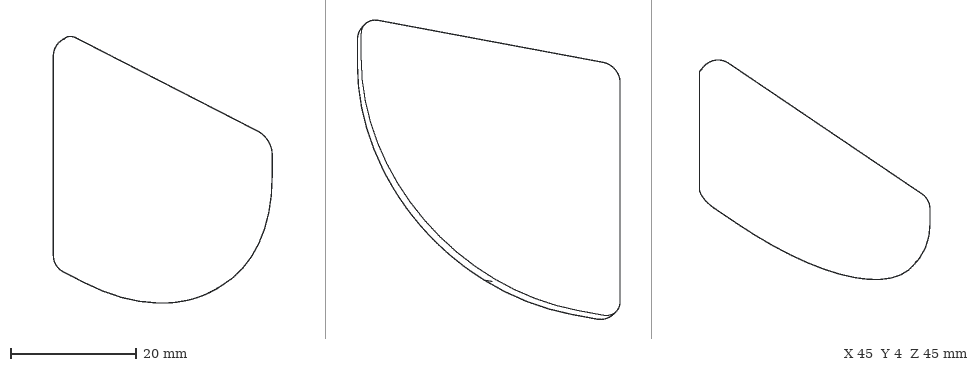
import cadquery as cq

side = 45.0
thickness = 4.0
edge_radius = 3.0
straight_length = 7.5
arc_radius = side - straight_length


def quarter_plate():
    """Square plate with a large arc replacing its +X, -Z corner."""
    plate = cq.Workplane("XY").box(side, thickness, side, centered=False)
    lower_right_edge = cq.selectors.NearestToPointSelector((side, thickness / 2, 0))
    return plate.edges(lower_right_edge).fillet(arc_radius)


def round_corners(plate):
    """Round the three remaining corners, seen along Y."""
    for x, z in ((0, 0), (0, side), (side, side)):
        corner_edge = cq.selectors.NearestToPointSelector((x, thickness / 2, z))
        plate = plate.edges(corner_edge).fillet(edge_radius)
    return plate


def round_front(plate):
    """Round the whole outline of the front face; the back stays sharp."""
    return plate.faces("<Y").edges().fillet(edge_radius)


result = round_front(round_corners(quarter_plate()))